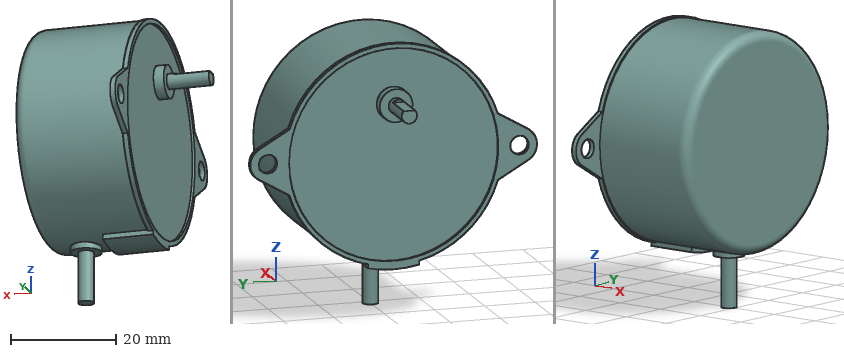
import cadquery as cq
import math


can_radius = 21.5
can_back = 22.5
can_edge_fillet = 1.95
plate_radius = 21.7
plate_thickness = 1.0
recess_radius = 20.8
recess_depth = 0.5

ear_hole_diameter = 3.65
ear_tip_radius = 3.5
ear_span = 57.0
ear_hole_y = ear_span / 2 - ear_tip_radius
ear_side_angle = math.radians(30)

shaft_z = 10.0
shaft_diameter = 3.0
shaft_length = 10.0
flat_length = 7.0
flat_depth = 0.5
boss_diameter = 6.5
boss_height = 1.55

tab_radius = 22.45
tab_width = 10.15
tab_length = 10.05
cable_x = 15.0
cable_diameter = 3.0
cable_bottom = 32.55
collar_diameter = 6.0
collar_bottom = 22.5


def rod_along_x(diameter, start, end, z=0.0):
    """Solid cylinder parallel to X."""
    return cq.Workplane("YZ", origin=(start, 0, z)).circle(diameter / 2).extrude(end - start)


def hanging_rod(diameter, depth):
    """Solid cylinder running down from the can axis at the cable position."""
    return cq.Workplane("XY", origin=(cable_x, 0, 0)).circle(diameter / 2).extrude(-depth)


def make_ear(side):
    """Tapered ear with a round tip; side is +1 for +Y and -1 for -Y."""
    tangent_y = ear_hole_y + ear_tip_radius * math.sin(ear_side_angle)
    tangent_z = ear_tip_radius * math.cos(ear_side_angle)
    root_y = recess_radius * math.cos(ear_side_angle)
    root_z = tangent_z + (tangent_y - root_y) * math.tan(ear_side_angle)
    ear = (
        cq.Workplane("YZ")
        .moveTo(side * root_y, root_z)
        .lineTo(side * tangent_y, tangent_z)
        .threePointArc((side * ear_span / 2, 0), (side * tangent_y, -tangent_z))
        .lineTo(side * root_y, -root_z)
        .close()
        .extrude(plate_thickness)
    )
    hole = (
        cq.Workplane("YZ")
        .center(side * ear_hole_y, 0)
        .circle(ear_hole_diameter / 2)
        .extrude(plate_thickness)
    )
    return ear.cut(hole)


def make_housing():
    """Can with a rounded back edge, plate, ears and a recessed front face."""
    can = rod_along_x(2 * can_radius, 0, can_back).faces(">X").edges().fillet(can_edge_fillet)
    housing = can.union(rod_along_x(2 * plate_radius, 0, plate_thickness))
    for side in (-1, 1):
        housing = housing.union(make_ear(side))
    return housing.cut(rod_along_x(2 * recess_radius, 0, recess_depth))


def make_shaft():
    """Round boss and shaft, with a flat on top of the shaft end."""
    boss = rod_along_x(boss_diameter, -boss_height, recess_depth, shaft_z)
    shaft = rod_along_x(shaft_diameter, -shaft_length, recess_depth, shaft_z)
    flat_cut = cq.Workplane("XY").box(
        flat_length, shaft_diameter, flat_depth, centered=(False, True, False)
    ).translate((-shaft_length, 0, shaft_z + shaft_diameter / 2 - flat_depth))
    return shaft.cut(flat_cut).union(boss)


def make_tab():
    """Strip of a thin shell lying against the bottom of the can."""
    shell = rod_along_x(2 * tab_radius, 0, tab_length).cut(rod_along_x(2 * recess_radius, 0, tab_length))
    strip = cq.Workplane("XY").box(
        tab_length, tab_width, tab_radius, centered=(False, True, False)
    ).translate((0, 0, -tab_radius))
    return shell.intersect(strip)


def make_cable_outlet():
    """Collar and cable pointing down from the can."""
    return hanging_rod(collar_diameter, collar_bottom).union(hanging_rod(cable_diameter, cable_bottom))


result = make_housing().union(make_shaft()).union(make_tab()).union(make_cable_outlet())